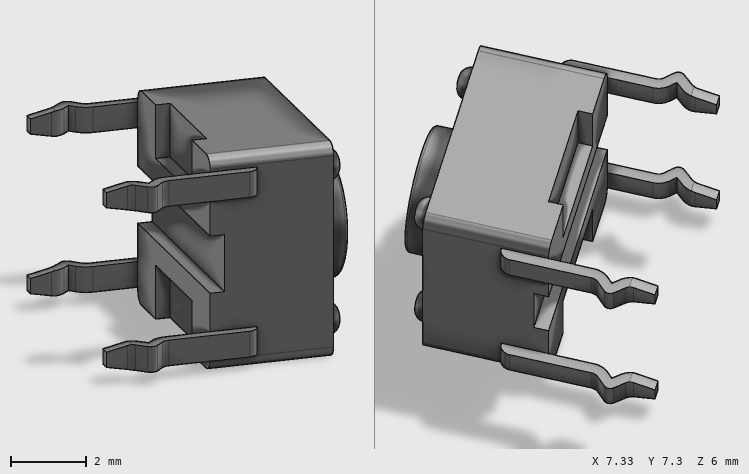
import cadquery as cq
import math


body_side = 6.0
body_depth = 3.45
body_corner_radius = 0.32
recess_depth = 0.4
channel_height = 1.6
notch_width = 3.01
notch_height = 1.5

button_diameter = 3.5
button_height = 0.85
button_draft = 2.0
button_edge_radius = 0.09
nub_diameter = 0.9
nub_height = 0.4
nub_dome_radius = 0.32
nub_offset = 2.155

span = 7.33
pin_thickness = 0.3
pin_width = 0.72
pin_offset = 2.235
pin_start_y = -2.155
pin_end_y = -6.45
pin_tip_width = 0.425
nose_y = -5.27
nose_radius = 0.2
upper_flank_angle = math.radians(45)
lower_flank_angle = math.radians(42)

body_half = body_side / 2
body_bottom_y = -body_depth
recess_floor_y = body_bottom_y + recess_depth


def cylinder_on_body(diameter, height, x, z, draft=0.0):
    """Round boss standing on the button face at (x, z)."""
    face = cq.Workplane("XZ").center(x, z).circle(diameter / 2)
    return face.extrude(-height, taper=draft)


def make_body():
    body = cq.Workplane("XZ").rect(body_side, body_side).extrude(body_depth)
    body = body.edges("|Y").fillet(body_corner_radius)

    recesses = cq.Workplane("XZ", origin=(0, recess_floor_y, 0))
    body = body.cut(recesses.rect(body_side, channel_height).extrude(recess_depth))
    notch_z = body_half - notch_height / 2
    notches = recesses.pushPoints([(0, notch_z), (0, -notch_z)]).rect(notch_width, notch_height)
    return body.cut(notches.extrude(recess_depth))


def make_button():
    button = cylinder_on_body(button_diameter, button_height, 0, 0, button_draft)
    return button.faces(">Y").edges().fillet(button_edge_radius)


def make_nub(x, z):
    nub = cylinder_on_body(nub_diameter, nub_height, x, z)
    return nub.faces(">Y").edges().fillet(nub_dome_radius)


def make_pin():
    """Pin on the +X side, centred on Z = 0."""
    inner_x = body_half
    outer_x = inner_x + pin_thickness
    nose_x = span / 2 - nose_radius

    inner_distance = nose_radius - pin_thickness

    def flank_rise(x, distance, angle):
        """Y distance from the nose centre to a flank at the given x."""
        return (distance - (x - nose_x) * math.cos(angle)) / math.sin(angle)

    def flank_crossing(distance):
        """Point where the upper and lower flanks meet."""
        reaches = 1 / math.sin(upper_flank_angle) + 1 / math.sin(lower_flank_angle)
        slopes = 1 / math.tan(upper_flank_angle) + 1 / math.tan(lower_flank_angle)
        x = nose_x + distance * reaches / slopes
        return x, nose_y + flank_rise(x, distance, upper_flank_angle)

    upper_outer_y = nose_y + flank_rise(outer_x, nose_radius, upper_flank_angle)
    lower_outer_y = nose_y - flank_rise(outer_x, nose_radius, lower_flank_angle)
    upper_inner_y = nose_y + flank_rise(inner_x, inner_distance, upper_flank_angle)
    lower_inner_y = nose_y - flank_rise(inner_x, inner_distance, lower_flank_angle)
    apex = flank_crossing(nose_radius)

    outline = (
        cq.Workplane("XY")
        .moveTo(inner_x, pin_start_y)
        .radiusArc((outer_x, pin_start_y - pin_thickness), pin_thickness)
        .lineTo(outer_x, upper_outer_y)
        .lineTo(*apex)
        .lineTo(outer_x, lower_outer_y)
        .lineTo(outer_x, pin_end_y)
        .lineTo(inner_x, pin_end_y)
        .lineTo(inner_x, lower_inner_y)
        .lineTo(*flank_crossing(inner_distance))
        .lineTo(inner_x, upper_inner_y)
        .close()
    )
    pin = outline.extrude(pin_width / 2, both=True)

    def round_bend(solid, x, y, radius):
        edge = cq.selectors.NearestToPointSelector((x, y, 0))
        return solid.edges("|Z").edges(edge).fillet(radius)

    for bend_y in (upper_outer_y, lower_outer_y):
        pin = round_bend(pin, outer_x, bend_y, pin_thickness)
    for bend_y in (upper_inner_y, lower_inner_y):
        pin = round_bend(pin, inner_x, bend_y, 2 * pin_thickness)
    pin = round_bend(pin, *apex, nose_radius)

    width_profile = (
        cq.Workplane("YZ")
        .moveTo(pin_start_y, pin_width / 2)
        .lineTo(lower_outer_y, pin_width / 2)
        .lineTo(pin_end_y, pin_tip_width / 2)
        .lineTo(pin_end_y, -pin_tip_width / 2)
        .lineTo(lower_outer_y, -pin_width / 2)
        .lineTo(pin_start_y, -pin_width / 2)
        .close()
        .extrude(span)
    )
    return pin.intersect(width_profile)


result = make_body().union(make_button())
right_pin = make_pin()
left_pin = right_pin.mirror("YZ")
for z_side in (-1, 1):
    for x_side in (-1, 1):
        result = result.union(make_nub(x_side * nub_offset, z_side * nub_offset))
    for pin in (left_pin, right_pin):
        result = result.union(pin.translate((0, 0, z_side * pin_offset)))